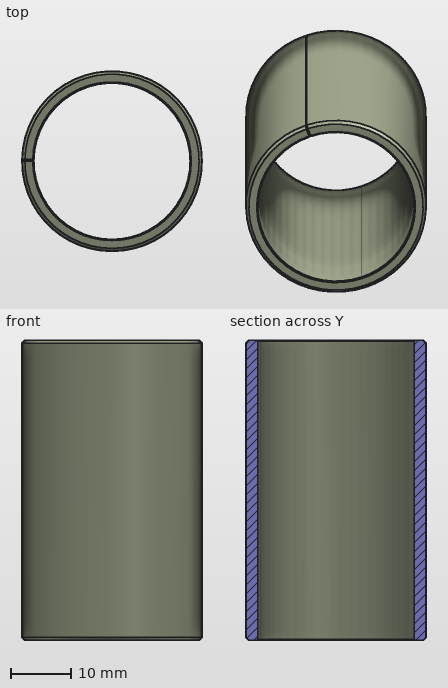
import cadquery as cq

OUTER_DIAMETER = 30.0
INNER_DIAMETER = 26.0
LENGTH = 50.0

OUTER_CHAMFER = 0.5
INNER_CHAMFER = 0.2

SEAM_WIDTH = 0.25

OUTER_RADIUS = OUTER_DIAMETER / 2
INNER_RADIUS = INNER_DIAMETER / 2
HALF_LENGTH = LENGTH / 2


def chamfered_sleeve():
    """Revolve the wall section, with both rims chamfered at both ends."""
    section = (
        cq.Workplane("XZ")
        .moveTo(INNER_RADIUS, INNER_CHAMFER - HALF_LENGTH)
        .lineTo(INNER_RADIUS + INNER_CHAMFER, -HALF_LENGTH)
        .lineTo(OUTER_RADIUS - OUTER_CHAMFER, -HALF_LENGTH)
        .lineTo(OUTER_RADIUS, OUTER_CHAMFER - HALF_LENGTH)
        .lineTo(OUTER_RADIUS, HALF_LENGTH - OUTER_CHAMFER)
        .lineTo(OUTER_RADIUS - OUTER_CHAMFER, HALF_LENGTH)
        .lineTo(INNER_RADIUS + INNER_CHAMFER, HALF_LENGTH)
        .lineTo(INNER_RADIUS, HALF_LENGTH - INNER_CHAMFER)
        .close()
    )
    return section.revolve(360, (0, 0), (0, 1))


def seam_cutter():
    """Thin slab from the axis out past the -X side of the wall, with one face on Y = 0."""
    slab = cq.Workplane("XY").box(OUTER_DIAMETER, SEAM_WIDTH, LENGTH, centered=(True, False, True))
    return slab.translate((-OUTER_RADIUS, 0, 0))


result = chamfered_sleeve().cut(seam_cutter())